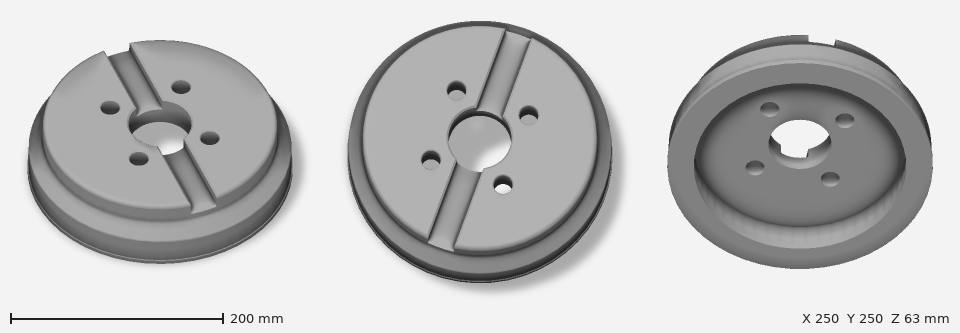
import cadquery as cq

height = 63.0
rim_radius = 125.0

rim_height = 4.5
rim_chamfer = 0.5

skirt_radius = 123.6
shoulder_bottom = 29.2
shoulder_top = 43.0
neck_base_radius = 111.0
neck_top_radius = 110.0
shoulder_blend = 2.5
corner_margin = 0.7
crown_fillet = 5.0

web_thickness = 30.5
cavity_radius = 100.0

bore_radius = 29.7
bore_chamfer = 1.7
hole_radius = 9.0
hole_chamfer = 1.0
hole_spacing = 72.0

slot_width = 26.2
slot_depth = 13.7
slot_edge_chamfer = 1.7
slot_floor_fillet = 1.5


def make_rim_ring():
    """Annular ring under the skirt, with its bottom outer edge broken."""
    ring = cq.Workplane("XY").circle(rim_radius).extrude(rim_height)
    ring = ring.faces("<Z").edges().chamfer(rim_chamfer)
    cavity = cq.Workplane("XY").circle(cavity_radius).extrude(rim_height)
    return ring.cut(cavity)


def make_hub_blank():
    """Revolved cup with a rounded crown and softened shoulder corners."""
    web_bottom = height - web_thickness
    blank = (
        cq.Workplane("XZ")
        .moveTo(0, rim_height)
        .lineTo(skirt_radius, rim_height)
        .lineTo(skirt_radius, shoulder_bottom)
        .lineTo(neck_base_radius, shoulder_top)
        .lineTo(neck_top_radius, height)
        .lineTo(0, height)
        .close()
        .revolve(360, (0, 0), (0, 1))
    )
    blank = blank.faces(">Z").edges().fillet(crown_fillet)
    for level in (shoulder_bottom, shoulder_top):
        corner = cq.selectors.BoxSelector(
            (-rim_radius, -rim_radius, level - corner_margin),
            (rim_radius, rim_radius, level + corner_margin),
        )
        blank = blank.edges("%CIRCLE").edges(corner).fillet(shoulder_blend)
    cavity = (
        cq.Workplane("XY", origin=(0, 0, rim_height))
        .circle(cavity_radius)
        .extrude(web_bottom - rim_height)
    )
    return blank.cut(cavity)


def make_slot_cutter():
    """Slot with rounded floor corners and chamfered upper edges."""
    floor_level = height - slot_depth
    half_width = slot_width / 2
    slot = (
        cq.Workplane("XY", origin=(0, 0, floor_level))
        .rect(2 * rim_radius, slot_width)
        .extrude(slot_depth)
        .faces("<Z")
        .edges("|X")
        .fillet(slot_floor_fillet)
    )
    edge_flare = (
        cq.Workplane("YZ", origin=(-rim_radius, 0, 0))
        .moveTo(-half_width, height - slot_edge_chamfer)
        .lineTo(half_width, height - slot_edge_chamfer)
        .lineTo(half_width + slot_edge_chamfer, height)
        .lineTo(-half_width - slot_edge_chamfer, height)
        .close()
        .extrude(2 * rim_radius)
    )
    return slot.union(edge_flare)


def make_hole_cutter(x, y, radius, chamfer):
    """Through hole in the web, chamfered at the top face."""
    cutter = cq.Workplane("XY", origin=(x, y, 0)).circle(radius).extrude(height)
    countersink = cq.Solid.makeCone(
        radius, radius + chamfer, chamfer, pnt=cq.Vector(x, y, height - chamfer)
    )
    return cutter.union(cq.Workplane(countersink))


def make_hub():
    """Complete hub with slot, bore and four mounting holes."""
    hub = make_hub_blank().cut(make_slot_cutter())
    hub = hub.cut(make_hole_cutter(0, 0, bore_radius, bore_chamfer))
    for x_side in (-1, 1):
        for y_side in (-1, 1):
            x = x_side * hole_spacing / 2
            y = y_side * hole_spacing / 2
            hub = hub.cut(make_hole_cutter(x, y, hole_radius, hole_chamfer))
    return hub


hub = make_hub()
rim_ring = make_rim_ring()

result = cq.Compound.makeCompound([hub.val(), rim_ring.val()])